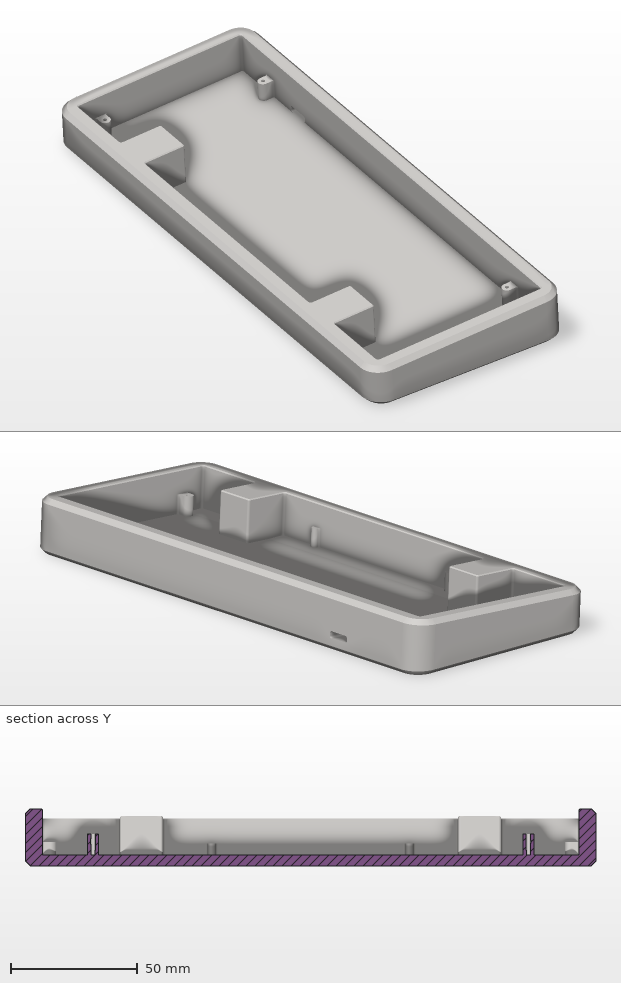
import cadquery as cq
import math

length = 225.3
depth = 92.0
back_height = 23.0
tilt = math.radians(3.0)
corner_radius = 9.0
outer_chamfer = 2.0

wall = 7.0
cavity_depth = 18.0
strip_thickness = 1.04
cavity_corner_radius = 1.0
rim_chamfer = 0.5

tab_spacing = 133.4
tab_width = 17.0
tab_length = 19.2

foot_radius = 0.79
post_height = 8.0
post_width = 4.5
post_hole_diameter = 1.6
back_post_spacing = 171.7
back_post_hole_inset = 3.4
side_post_hole_inset = 3.2
side_post_from_front = 10.5
lug_spacing = 78.0
lug_width = 3.2
lug_reach = 2.3

slot_width = 10.0
slot_height = 3.0
slot_corner_radius = 1.0

cavity_length = length - 2 * wall
cavity_width = depth - 2 * wall
back_wall_y = cavity_width / 2
front_wall_y = -back_wall_y
tab_x = tab_spacing / 2

rim_height = back_height - (depth / 2 - outer_chamfer) * math.sin(tilt)
rim_normal = cq.Vector(0, -math.sin(tilt), math.cos(tilt))
rim_uphill = cq.Vector(0, math.cos(tilt), math.sin(tilt))
along_normal = cq.selectors.ParallelDirSelector(rim_normal)
along_slope = cq.selectors.ParallelDirSelector(rim_uphill)
top_face = cq.selectors.DirectionMinMaxSelector(rim_normal, True)
root = 0.7


def sloped(level, x=0, y=0):
    """Workplane parallel to the rim, at a distance along its normal, centred on (x, y)."""
    origin = cq.Vector(0, 0, rim_height) + rim_normal * level
    return cq.Workplane(cq.Plane(origin, (1, 0, 0), rim_normal)).center(x, y)


def above(height):
    """Block that fills all the space above a level height."""
    size = 2 * length
    return cq.Workplane(origin=(0, 0, height)).rect(size, size).extrude(size)


def make_shell():
    below_base = 2 * back_height
    shell = (
        sloped(-below_base)
        .rect(length, depth)
        .extrude(below_base)
        .edges(along_normal)
        .fillet(corner_radius)
        .intersect(above(0))
    )
    return shell.faces(top_face).chamfer(outer_chamfer).faces("<Z").chamfer(outer_chamfer)


def make_cavity():
    cavity = sloped(-cavity_depth).rect(cavity_length, cavity_width).extrude(cavity_depth)
    for x in (-tab_x, tab_x):
        tab = sloped(-cavity_depth, x, front_wall_y).rect(tab_width, 2 * tab_length).extrude(cavity_depth)
        cavity = cavity.cut(tab)
    cavity = cavity.edges(along_normal).fillet(cavity_corner_radius)

    mouth = cavity.faces(top_face).wires().val()
    mouth_foot = mouth.translate(rim_normal * -rim_chamfer)
    flare = cq.Solid.makeLoft([mouth_foot, mouth.offset2D(rim_chamfer)[0]], True)
    return cavity.intersect(above(strip_thickness)).union(flare)


def make_boss(x, y, turn, width, reach):
    """Round-nosed boss with filleted feet; (x, y) is on the wall, turn 0 points it toward +Y."""
    half = width / 2
    foot = half + foot_radius
    inset = foot_radius * (1 - math.sqrt(0.5))
    return (
        sloped(-cavity_depth, x, y)
        .transformed(rotate=(0, 0, turn))
        .moveTo(-foot, -root)
        .lineTo(-foot, 0)
        .threePointArc((-half - inset, inset), (-half, foot_radius))
        .lineTo(-half, reach - half)
        .threePointArc((0, reach), (half, reach - half))
        .lineTo(half, foot_radius)
        .threePointArc((half + inset, inset), (foot, 0))
        .lineTo(foot, -root)
        .close()
        .extrude(post_height)
    )


def make_post(x, y, turn, hole_inset):
    """Screw post with a blind hole, centred in its round nose."""
    post = make_boss(x, y, turn, post_width, hole_inset + post_width / 2)
    hole = (
        sloped(post_height - cavity_depth, x, y)
        .transformed(rotate=(0, 0, turn))
        .center(0, hole_inset)
        .circle(post_hole_diameter / 2)
        .extrude(-post_height)
    )
    return post.cut(hole)


def make_cable_slot():
    return (
        sloped(-cavity_depth, -tab_x, back_wall_y)
        .rect(slot_width, 4 * wall)
        .extrude(slot_height)
        .edges(along_slope)
        .fillet(slot_corner_radius)
    )


result = make_shell().cut(make_cavity()).cut(make_cable_slot())
for side in (-1, 1):
    back_post = make_post(side * back_post_spacing / 2, back_wall_y, 180, back_post_hole_inset)
    side_post = make_post(
        side * cavity_length / 2, front_wall_y + side_post_from_front, side * 90, side_post_hole_inset
    )
    lug = make_boss(side * lug_spacing / 2, front_wall_y, 0, lug_width, lug_reach)
    result = result.union(back_post).union(side_post).union(lug)